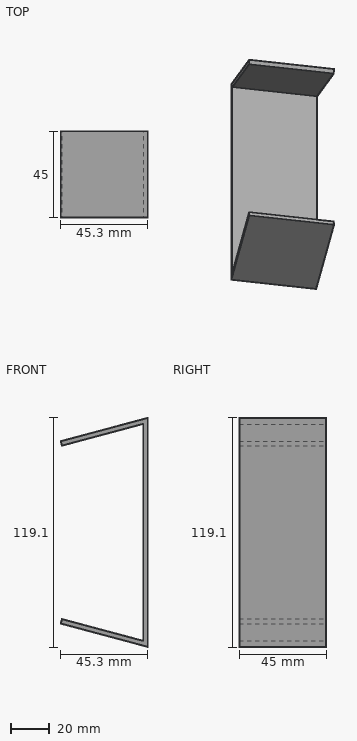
import cadquery as cq
import math

depth = 45.31
width = 45.0
height = 119.05
thickness = 2.5
flange_angle = 15.0

slope = math.radians(flange_angle)
half_height = height / 2
tip_drop = depth * math.tan(slope)
tip_inset_x = thickness * math.sin(slope)
tip_inset_z = thickness * math.cos(slope)
corner_angle = math.pi / 2 - slope
inner_corner_drop = thickness / math.tan(corner_angle / 2)

upper_half = [
    (depth, half_height),
    (0, half_height - tip_drop),
    (tip_inset_x, half_height - tip_drop - tip_inset_z),
    (depth - thickness, half_height - inner_corner_drop),
]


def clip_section():
    """Closed section: upper half followed by its mirror image about z = 0."""
    lower_half = [(x, -z) for x, z in reversed(upper_half)]
    return cq.Workplane("XZ").polyline(upper_half + lower_half).close()


result = clip_section().extrude(width / 2, both=True)